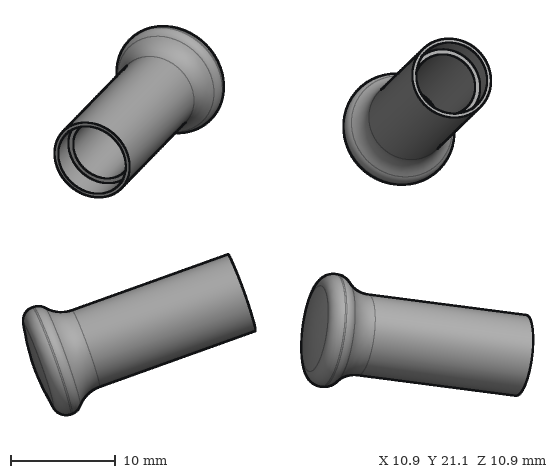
import cadquery as cq
import math

total_length = 21.06
stem_radius = 7.8 / 2
head_radius = 10.87 / 2

rim_round = 1.3
dome_radius = 20.0
flare_radius = 3.1
band_start = 19.18

mouth_radius = 7.0 / 2
mouth_depth = 2.5
bore_radius = 6.0 / 2
bore_depth = 16.0
cone_angle = math.radians(118)


def point_on_circle(center, radius, angle):
    """Point on a circle, with the angle in radians from the outward radial direction."""
    return (center[0] + radius * math.cos(angle), center[1] + radius * math.sin(angle))


def make_body():
    """Solid knob, smooth from stem to rim, with a slight crease where the dome begins."""
    rim_center_radius = head_radius - rim_round
    lower_center = (rim_center_radius, band_start)
    dome_height = dome_radius - math.sqrt(dome_radius**2 - rim_center_radius**2)
    dome_edge = total_length - dome_height
    band_end = dome_edge - rim_round
    upper_center = (rim_center_radius, band_end)

    flare_center_radius = stem_radius + flare_radius
    center_offset = flare_center_radius - rim_center_radius
    flare_angle = math.acos(center_offset / (flare_radius + rim_round))
    flare_start = band_start - center_offset * math.tan(flare_angle)
    flare_center = (flare_center_radius, flare_start)
    flare_middle = point_on_circle(flare_center, flare_radius, math.pi - flare_angle / 2)
    flare_end = point_on_circle(lower_center, rim_round, -flare_angle)

    rim_top = (rim_center_radius, dome_edge)
    dome_center = (0, total_length - dome_radius)
    dome_edge_angle = math.acos(rim_center_radius / dome_radius)
    dome_middle_angle = (dome_edge_angle + math.pi / 2) / 2
    dome_middle = point_on_circle(dome_center, dome_radius, dome_middle_angle)

    profile = (
        cq.Workplane("XY")
        .lineTo(stem_radius, 0)
        .lineTo(stem_radius, flare_start)
        .threePointArc(flare_middle, flare_end)
        .threePointArc(
            point_on_circle(lower_center, rim_round, -flare_angle / 2),
            (head_radius, band_start),
        )
        .lineTo(head_radius, band_end)
        .threePointArc(point_on_circle(upper_center, rim_round, math.pi / 4), rim_top)
        .threePointArc(dome_middle, (0, total_length))
        .close()
    )
    return profile.revolve(360, (0, 0), (0, 1))


def make_hole():
    """Wide mouth, narrower bore and drill-point cone."""
    cone_depth = bore_radius / math.tan(cone_angle / 2)
    profile = (
        cq.Workplane("XY")
        .lineTo(mouth_radius, 0)
        .lineTo(mouth_radius, mouth_depth)
        .lineTo(bore_radius, mouth_depth)
        .lineTo(bore_radius, bore_depth)
        .lineTo(0, bore_depth + cone_depth)
        .close()
    )
    return profile.revolve(360, (0, 0), (0, 1))


result = make_body().cut(make_hole())